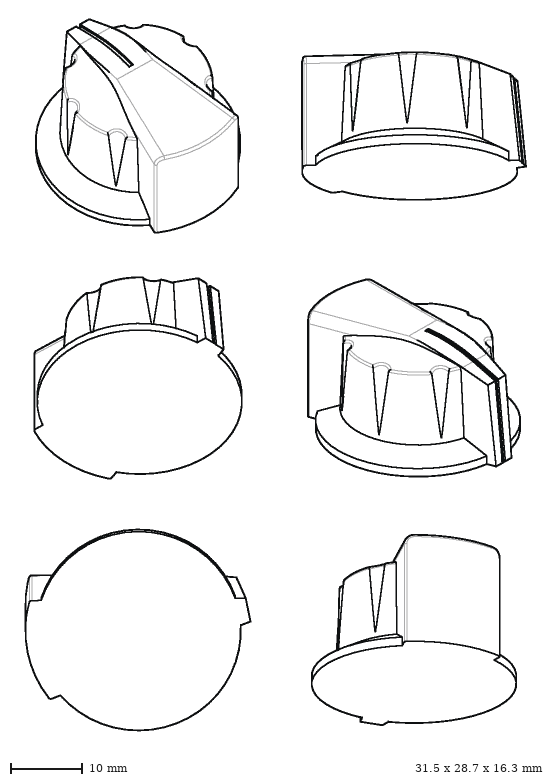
import cadquery as cq
import math

skirt_radius = 14.33
rim_height = 1.3
grip_bottom_z = 3.2
grip_bottom_radius = 10.93
grip_top_radius = 10.45
grip_edge_z = 14.35
dome_peak_z = 16.2
grip_edge_fillet = 0.38

flute_radius = 1.4
flute_center_radius = 11.0
flute_tip_z = 3.28
flute_full_z = 14.18
flute_end_z = 17.32
flute_angles = [52.3, 99.8, 147.3]

top_z = 16.25
tip_x = -15.65
tip_top_x = -14.35
ridge_x = -0.82
nose_radius = 24.25
nose_angle = 23.0
tail_radius = 15.85
tip_half_width = 1.7
side_angle = 10.6
pointer_fillet = 1.4
tail_fillet = 0.38

groove_width = 0.65
groove_depth = 0.3
groove_end_x = -1.65
groove_bottom_z = 0.25

slope_end_x = ridge_x - nose_radius * math.sin(math.radians(nose_angle))
slope_end_z = top_z - nose_radius * (1 - math.cos(math.radians(nose_angle)))
tip_top_z = slope_end_z - (slope_end_x - tip_top_x) * math.tan(math.radians(nose_angle))


def side_y(x):
    """Half width of the wedge at x."""
    return tip_half_width + (x - tip_x) * math.tan(math.radians(side_angle))


def make_grip():
    dome_rise = dome_peak_z - grip_edge_z
    dome_radius = (grip_top_radius**2 + dome_rise**2) / (2 * dome_rise)
    dome_mid_r = grip_top_radius / 2
    dome_mid_z = dome_peak_z - dome_radius + math.sqrt(dome_radius**2 - dome_mid_r**2)
    body = (
        cq.Workplane("XZ")
        .lineTo(skirt_radius, 0)
        .lineTo(skirt_radius, rim_height)
        .lineTo(grip_bottom_radius, grip_bottom_z)
        .lineTo(grip_top_radius, grip_edge_z)
        .threePointArc((dome_mid_r, dome_mid_z), (0, dome_peak_z))
        .close()
        .revolve(360, (0, 0, 0), (0, 1, 0))
    )
    cone_height = flute_end_z - flute_tip_z
    cone_radius = flute_radius * cone_height / (flute_full_z - flute_tip_z)
    for angle in flute_angles:
        for side in (1, -1):
            a = math.radians(side * angle)
            tip = cq.Vector(flute_center_radius * math.cos(a), flute_center_radius * math.sin(a), flute_tip_z)
            body = body.cut(cq.Workplane(cq.Solid.makeCone(0, cone_radius, cone_height, tip)))
    edge_band = 0.3
    edge_zone = cq.selectors.BoxSelector(
        (-skirt_radius, -skirt_radius, grip_edge_z - edge_band),
        (skirt_radius, skirt_radius, dome_peak_z - edge_band),
    )
    return body.edges(edge_zone).fillet(grip_edge_fillet)


def pointer_profile():
    """Side outline of the pointer: sloped tip, arc up to the ridge, flat top."""
    mid_run = (ridge_x - slope_end_x) / 2
    mid_z = top_z - nose_radius + math.sqrt(nose_radius**2 - mid_run**2)
    return (
        cq.Workplane("XZ")
        .moveTo(tip_x, 0)
        .lineTo(tip_top_x, tip_top_z)
        .lineTo(slope_end_x, slope_end_z)
        .threePointArc((ridge_x - mid_run, mid_z), (ridge_x, top_z))
        .lineTo(tail_radius, top_z)
        .lineTo(tail_radius, 0)
        .close()
    )


def make_pointer():
    """Return the pointer and the waste above its nose, which also clears the dome."""
    slope = math.tan(math.radians(side_angle))
    axis_y = side_y(0)
    tail_x = (-slope * axis_y + math.sqrt(tail_radius**2 * (1 + slope**2) - axis_y**2)) / (1 + slope**2)
    wedge = (
        cq.Workplane("XY")
        .moveTo(tip_x, -side_y(tip_x))
        .lineTo(tail_x, -side_y(tail_x))
        .threePointArc((tail_radius, 0), (tail_x, side_y(tail_x)))
        .lineTo(tip_x, side_y(tip_x))
        .close()
        .extrude(top_z)
    )
    profile = pointer_profile().extrude(skirt_radius, both=True)
    wedge = wedge.faces(">Z").edges(">Y or <Y").fillet(pointer_fillet)
    wedge = wedge.faces(">X").edges("not <Z").fillet(tail_fillet)
    return wedge.intersect(profile), wedge.cut(profile)


def make_groove():
    outer = pointer_profile().extrude(groove_width / 2, both=True)
    core = pointer_profile().offset2D(-groove_depth).extrude(groove_width, both=True)
    limit = cq.Workplane("XY").box(
        groove_end_x - tip_x, groove_width, top_z, centered=(False, True, False)
    ).translate((tip_x, 0, groove_bottom_z))
    return outer.cut(core).intersect(limit)


pointer, waste = make_pointer()
joined = make_grip().cut(waste).union(pointer)
result = joined.cut(make_groove())